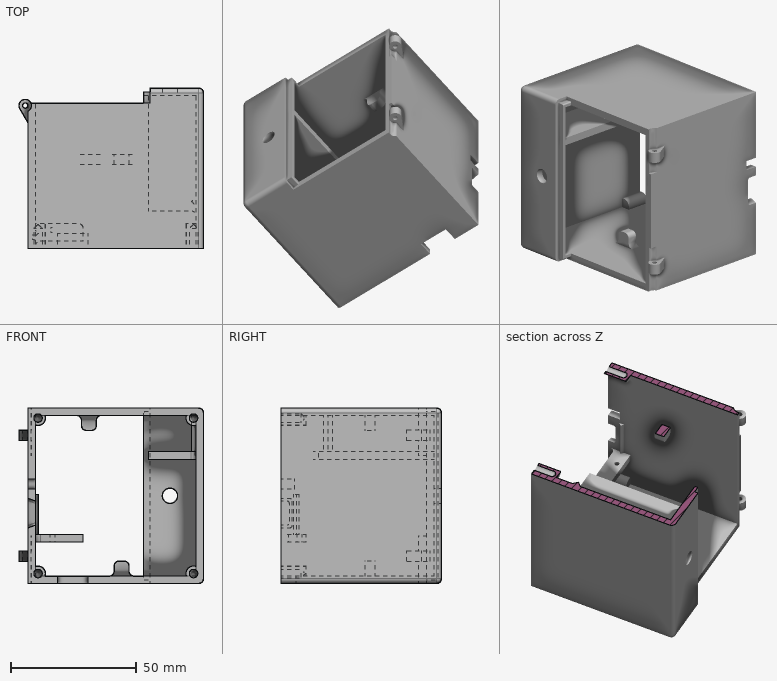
import cadquery as cq
import math

WIDTH = 70.0
HEIGHT = 70.0
DEPTH = 64.0
WALL = 3.0
DOOR_PLANE_Y = 58.0
BACK_PANEL_X = 48.7
EDGE_RADIUS = 2.0
BACK_HOLE_X = 56.6
BACK_HOLE_RADIUS = 3.0

LIP_X = 46.0
LIP_INSET = 1.5
LIP_EDGE_RADIUS = 0.5

SCREW_INSET = 4.0
BOSS_RADIUS = 3.0
BOSS_LENGTH = 10.0
SCREW_RADIUS = 1.7
SCREW_DEPTH = 8.0

HINGE_X = -1.12
HINGE_Y = 57.0
HINGE_RADIUS = 2.5
PIN_RADIUS = 1.0
HINGE_HEIGHT = 4.2
HINGE_END_GAP = 8.8
TAIL_ANGLE = 30.0
GROOVE_RADIUS = HINGE_RADIUS
GROOVE_LENGTH = 19.0

PORT_Z = 28.1
PORT_HEIGHT = 11.8
PORT_DEPTH = 4.4
PORT_DRAFT = 20.0
PORT_RADIUS = 1.0
SLOT_Z = 37.7
SLOT_HEIGHT = 3.9
SLOT_DEPTH = 5.4
FLOOR_NOTCH_X = 11.7
FLOOR_NOTCH_WIDTH = 12.3
FLOOR_NOTCH_DEPTH = 6.0

SHELF_LENGTH = 19.0
SHELF_THICKNESS = 3.1
SHELF_FILLET = 2.0
LEFT_SHELF_Z = 16.5
LEFT_SHELF_FRONT = 3.0
LEFT_SHELF_BACK = 10.0
LEFT_SHELF_HOLE_X = 9.7
LEFT_SHELF_HOLE_Y = 7.4
LEFT_SHELF_HOLE_RADIUS = 1.0
RIGHT_SHELF_Z = 49.5
RIGHT_SHELF_FRONT = 15.0
RIDGE_SETBACK = 2.0
LEFT_RIDGE_RISE = 1.1
LEFT_RIDGE_TOP = 35.6
RIGHT_RIDGE_RISE = 1.8

TAB_WIDTH = 6.0
TAB_HEIGHT = 6.0
TAB_FRONT = 33.5
TAB_THICKNESS = 4.0
TAB_TIP_RADIUS = 2.0
TAB_ROOT_RADIUS = 2.0
CEILING_TAB_X = 24.3
FLOOR_TAB_X = 37.3

OVERLAP = 0.5
INNER_RIGHT = WIDTH - WALL
INNER_TOP = HEIGHT - WALL
INNER_BACK = DEPTH - WALL


def box(x0, x1, y0, y1, z0, z1):
    """Box between the given limits."""
    return cq.Workplane("XY").box(x1 - x0, y1 - y0, z1 - z0, centered=False).translate((x0, y0, z0))


def rod(x, z, radius, y0, y1):
    """Cylinder along Y."""
    return cq.Workplane("XZ", origin=(x, y0, z)).circle(radius).extrude(y0 - y1)


def pillar(x, y, radius, z0, z1):
    """Cylinder along Z."""
    return cq.Workplane("XY", origin=(x, y, z0)).circle(radius).extrude(z1 - z0)


def make_shell():
    """Rounded box, open at the front, with the door rebate cut from the back."""
    shell = box(0, WIDTH, 0, DEPTH, 0, HEIGHT)
    shell = shell.edges("(>X and (>Z or <Z or >Y)) or (>Y and (>Z or <Z))").fillet(EDGE_RADIUS)
    shell = shell.cut(box(0, BACK_PANEL_X, DOOR_PLANE_Y, DEPTH, 0, HEIGHT))
    lip = box(LIP_X, BACK_PANEL_X, DOOR_PLANE_Y, DEPTH - LIP_INSET, LIP_INSET, HEIGHT - LIP_INSET)
    lip = lip.edges("<X and (>Z or <Z)").fillet(LIP_EDGE_RADIUS)
    shell = shell.union(lip)
    return shell.cut(box(WALL, INNER_RIGHT, 0, INNER_BACK, WALL, INNER_TOP))


def make_tab(x, root_z, direction):
    """Tab with rounded tip and flared root, rising from root_z along direction (+1 or -1)."""
    half = TAB_WIDTH / 2
    flare = half + TAB_ROOT_RADIUS
    profile = (
        cq.Workplane("XZ")
        .moveTo(-flare, 0)
        .radiusArc((-half, TAB_ROOT_RADIUS), -TAB_ROOT_RADIUS)
        .lineTo(-half, TAB_HEIGHT - TAB_TIP_RADIUS)
        .radiusArc((-half + TAB_TIP_RADIUS, TAB_HEIGHT), TAB_TIP_RADIUS)
        .lineTo(half - TAB_TIP_RADIUS, TAB_HEIGHT)
        .radiusArc((half, TAB_HEIGHT - TAB_TIP_RADIUS), TAB_TIP_RADIUS)
        .lineTo(half, TAB_ROOT_RADIUS)
        .radiusArc((flare, 0), -TAB_ROOT_RADIUS)
        .lineTo(flare, -OVERLAP)
        .lineTo(-flare, -OVERLAP)
        .close()
    )
    tab = profile.extrude(-TAB_THICKNESS)
    if direction < 0:
        tab = tab.mirror("XY")
    return tab.translate((x, TAB_FRONT, root_z))


def make_shelf_root(wall_x, inward, front, z):
    """Concave fillet block between a shelf front and its side wall."""
    tip_x = wall_x + inward * SHELF_FILLET
    block = box(min(wall_x, tip_x), max(wall_x, tip_x), front - SHELF_FILLET, front, z, z + SHELF_THICKNESS)
    return block.cut(pillar(tip_x, front - SHELF_FILLET, SHELF_FILLET, z, z + SHELF_THICKNESS))


def make_ridge(wall_x, inward, rise, foot_y, z0, z1):
    """Triangular ridge with 45 degree flanks standing on a side wall."""
    root_x = wall_x - inward * OVERLAP
    return (
        cq.Workplane("XY", origin=(0, 0, z0))
        .moveTo(root_x, foot_y)
        .lineTo(wall_x, foot_y)
        .lineTo(wall_x + inward * rise, foot_y + rise)
        .lineTo(wall_x, foot_y + 2 * rise)
        .lineTo(root_x, foot_y + 2 * rise)
        .close()
        .extrude(z1 - z0)
    )


def make_left_shelf():
    """Shelf with a rounded free corner, a pin hole and a ridge above it."""
    z1 = LEFT_SHELF_Z + SHELF_THICKNESS
    shelf = box(WALL - OVERLAP, WALL + SHELF_LENGTH, LEFT_SHELF_FRONT, LEFT_SHELF_BACK, LEFT_SHELF_Z, z1)
    shelf = shelf.edges("|Z and >X and >Y").fillet(SHELF_FILLET)
    shelf = shelf.cut(pillar(LEFT_SHELF_HOLE_X, LEFT_SHELF_HOLE_Y, LEFT_SHELF_HOLE_RADIUS, LEFT_SHELF_Z, z1))
    shelf = shelf.union(make_shelf_root(WALL, 1, LEFT_SHELF_FRONT, LEFT_SHELF_Z))
    foot_y = LEFT_SHELF_FRONT + RIDGE_SETBACK
    return shelf.union(make_ridge(WALL, 1, LEFT_RIDGE_RISE, foot_y, LEFT_SHELF_Z, LEFT_RIDGE_TOP))


def make_right_shelf():
    """Shelf reaching the back wall, with a ridge from it to the ceiling."""
    x0 = INNER_RIGHT - SHELF_LENGTH
    z1 = RIGHT_SHELF_Z + SHELF_THICKNESS
    shelf = box(x0, INNER_RIGHT + OVERLAP, RIGHT_SHELF_FRONT, INNER_BACK + OVERLAP, RIGHT_SHELF_Z, z1)
    shelf = shelf.union(make_shelf_root(INNER_RIGHT, -1, RIGHT_SHELF_FRONT, RIGHT_SHELF_Z))
    foot_y = RIGHT_SHELF_FRONT + RIDGE_SETBACK
    return shelf.union(make_ridge(INNER_RIGHT, -1, RIGHT_RIDGE_RISE, foot_y, RIGHT_SHELF_Z, INNER_TOP))


def make_hinge(z):
    """Hinge knuckle whose tail runs tangentially down to the left wall."""
    angle = math.radians(TAIL_ANGLE)
    tangent_x = HINGE_X - HINGE_RADIUS * math.cos(angle)
    tangent_y = HINGE_Y - HINGE_RADIUS * math.sin(angle)
    wall_y = tangent_y + tangent_x / math.tan(angle)
    tail = (
        cq.Workplane("XY", origin=(0, 0, z))
        .moveTo(HINGE_X, HINGE_Y)
        .lineTo(tangent_x, tangent_y)
        .lineTo(0, wall_y)
        .lineTo(OVERLAP, wall_y)
        .lineTo(OVERLAP, HINGE_Y)
        .close()
        .extrude(HINGE_HEIGHT)
    )
    knuckle = pillar(HINGE_X, HINGE_Y, HINGE_RADIUS, z, z + HINGE_HEIGHT)
    return tail.union(knuckle).cut(pillar(HINGE_X, HINGE_Y, PIN_RADIUS, z, z + HINGE_HEIGHT))


def make_port():
    """Drafted, round-cornered opening that narrows from the outer face of the left wall inwards."""
    return (
        cq.Workplane("YZ", origin=(0, 0, PORT_Z))
        .rect(2 * PORT_DEPTH, PORT_HEIGHT)
        .extrude(WALL, taper=PORT_DRAFT)
        .edges("not(|Y or |Z)")
        .fillet(PORT_RADIUS)
    )


def make_screw_hole(x, z):
    """Pilot hole along Y with a conical end."""
    cone = cq.Solid.makeCone(
        SCREW_RADIUS, 0, SCREW_RADIUS, cq.Vector(x, SCREW_DEPTH, z), cq.Vector(0, 1, 0)
    )
    return rod(x, z, SCREW_RADIUS, 0, SCREW_DEPTH).union(cq.Workplane(obj=cone))


part = make_shell()

screw_places = [
    (x, z)
    for x in (SCREW_INSET, WIDTH - SCREW_INSET)
    for z in (SCREW_INSET, HEIGHT - SCREW_INSET)
]
for screw_x, screw_z in screw_places:
    part = part.union(rod(screw_x, screw_z, BOSS_RADIUS, 0, BOSS_LENGTH))
    part = part.cut(make_screw_hole(screw_x, screw_z))

part = part.union(make_left_shelf())
part = part.union(make_right_shelf())
part = part.union(make_tab(FLOOR_TAB_X, WALL, 1))
part = part.union(make_tab(CEILING_TAB_X, INNER_TOP, -1))

for groove_z in (0, HEIGHT - GROOVE_LENGTH):
    part = part.cut(pillar(HINGE_X, HINGE_Y, GROOVE_RADIUS, groove_z, groove_z + GROOVE_LENGTH))
for hinge_z in (HINGE_END_GAP, HEIGHT - HINGE_END_GAP - HINGE_HEIGHT):
    part = part.union(make_hinge(hinge_z))

part = part.cut(make_port())
part = part.cut(box(0, WALL, 0, SLOT_DEPTH, SLOT_Z, SLOT_Z + SLOT_HEIGHT))
part = part.cut(
    box(FLOOR_NOTCH_X, FLOOR_NOTCH_X + FLOOR_NOTCH_WIDTH, 0, FLOOR_NOTCH_DEPTH, 0, WALL)
)
part = part.cut(rod(BACK_HOLE_X, HEIGHT / 2, BACK_HOLE_RADIUS, INNER_BACK, DEPTH))

result = part